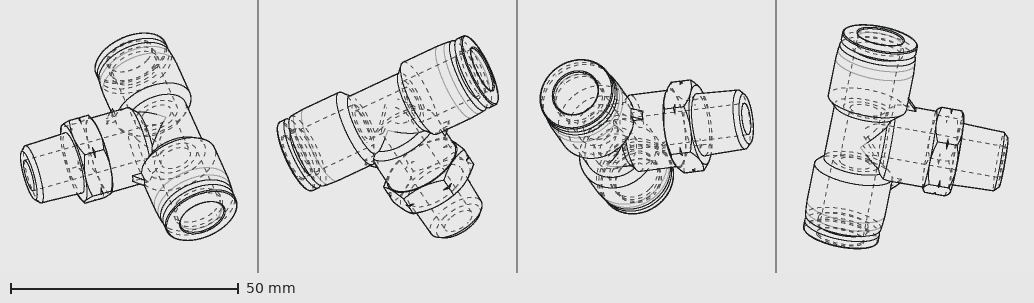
import cadquery as cq
import math


half_length = 23.8
body_radius = 8.75
waist_radius = 7.0
shoulder_start = 6.3
shoulder_end = shoulder_start + body_radius - waist_radius
cap_taper_start = 16.85
cap_joint = 18.9
cap_joint_radius = 8.6
cap_end = 20.2
cap_end_radius = 8.45

neck_radius = 5.55
flange_start = 21.45
flange_radius = 8.4
flange_edge = 23.05
face_outer_radius = 8.15
face_outer_position = 23.3

flow_radius = 3.47
tube_radius = 4.95
tube_mouth_radius = 5.35
lead_in_radius = 5.1
lead_in_length = 0.8
tube_stop = shoulder_start

branch_radius = 8.45
branch_cone_start = 4.95
branch_cone_end = branch_cone_start + branch_radius - waist_radius

nut_start = 15.5
nut_end = 21.5
nut_middle = (nut_start + nut_end) / 2
nut_sides = 6
nut_flat_distance = body_radius
nut_corner_radius = nut_flat_distance / math.cos(math.pi / nut_sides)
nut_chamfer_angle = 30.0
nut_chamfer_depth = (nut_corner_radius - nut_flat_distance) * math.tan(math.radians(nut_chamfer_angle))
groove_floor_radius = 9.5
groove_half_width = 0.2

thread_radius = 6.9
thread_chamfer_start = 30.95
branch_end = 32.0
thread_end_radius = 6.55
thread_tip_radius = thread_end_radius - (branch_end - thread_chamfer_start)

rib_thickness = 2.0
rib_reach = 19.25


def revolve_run(profile):
    """Turn (distance, radius) points about the X axis."""
    return cq.Workplane("XY").polyline(profile).close().revolve(360, (0, 0), (1, 0))


def revolve_branch(profile):
    """Turn (distance, radius) points about the Y axis, distances running towards -Y."""
    points = [(radius, -distance) for distance, radius in profile]
    return cq.Workplane("XY").polyline(points).close().revolve(360, (0, 0), (0, 1))


def run_half():
    return revolve_run([
        (0, 0),
        (0, waist_radius),
        (shoulder_start, waist_radius),
        (shoulder_end, body_radius),
        (cap_taper_start, body_radius),
        (cap_joint, cap_joint_radius),
        (cap_end, cap_end_radius),
        (cap_end, neck_radius),
        (flange_start, neck_radius),
        (flange_start, flange_radius),
        (flange_edge, flange_radius),
        (face_outer_position, face_outer_radius),
        (half_length, tube_mouth_radius),
        (half_length, 0),
    ])


def run_bore_half():
    lead_in_start = half_length - (tube_mouth_radius - lead_in_radius)
    return revolve_run([
        (0, 0),
        (0, flow_radius),
        (tube_stop, flow_radius),
        (tube_stop, tube_radius),
        (lead_in_start - lead_in_length, tube_radius),
        (lead_in_start, lead_in_radius),
        (half_length, tube_mouth_radius),
        (half_length, 0),
    ])


def branch():
    return revolve_branch([
        (0, 0),
        (0, waist_radius),
        (branch_cone_start, waist_radius),
        (branch_cone_end, branch_radius),
        (nut_end, branch_radius),
        (nut_end, thread_radius),
        (thread_chamfer_start, thread_end_radius),
        (branch_end, thread_tip_radius),
        (branch_end, 0),
    ])


def nut():
    hexagon = (
        cq.Workplane("XZ", origin=(0, -nut_start, 0))
        .polygon(nut_sides, 2 * nut_corner_radius)
        .extrude(nut_end - nut_start)
    )
    envelope = revolve_branch([
        (nut_start, 0),
        (nut_start, nut_flat_distance),
        (nut_start + nut_chamfer_depth, nut_corner_radius),
        (nut_middle - groove_half_width, nut_corner_radius),
        (nut_middle, groove_floor_radius),
        (nut_middle + groove_half_width, nut_corner_radius),
        (nut_end - nut_chamfer_depth, nut_corner_radius),
        (nut_end, nut_flat_distance),
        (nut_end, 0),
    ])
    return hexagon.intersect(envelope)


def rib():
    inner_x = shoulder_start
    inner_y = waist_radius
    return (
        cq.Workplane("XY", origin=(0, 0, -rib_thickness / 2))
        .polyline([
            (inner_x, -inner_y),
            (rib_reach - inner_y, -inner_y),
            (inner_x, inner_x - rib_reach),
        ])
        .close()
        .extrude(rib_thickness)
    )


def both_sides(half):
    return half.union(half.mirror("YZ"))


branch_bore = cq.Workplane("XZ").circle(flow_radius).extrude(branch_end)

result = (
    both_sides(run_half())
    .union(branch())
    .union(nut())
    .union(both_sides(rib()))
    .cut(both_sides(run_bore_half()))
    .cut(branch_bore)
)